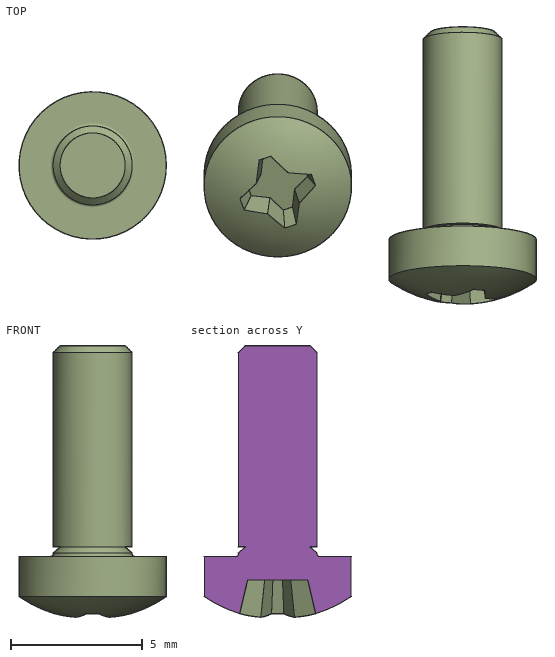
import cadquery as cq
import math

thread_radius = 3.0 / 2
shank_length = 8.0
core_radius = 1.235
tip_chamfer = thread_radius - core_radius

neck_height = 0.36
head_fillet = 0.1
neck_land = 0.03

head_radius = 5.6 / 2
rim_height = 1.53
head_height = 2.4
dome_rise = head_height - rim_height
dome_radius = (head_radius**2 + dome_rise**2) / (2 * dome_rise)

wing_reach = 1.49
wing_half_width = 0.24
corner_offset = 0.65
recess_depth = 1.5
wing_draft = 13.25


def screw_body():
    """Revolve the half profile of shank, undercut and head about Z."""
    fillet_middle = head_fillet * (1 - math.sqrt(0.5))
    middle_radius = head_radius / 2
    dome_center = dome_radius - head_height
    dome_middle = dome_center - math.sqrt(dome_radius**2 - middle_radius**2)
    return (
        cq.Workplane("XZ")
        .moveTo(0, shank_length)
        .lineTo(core_radius, shank_length)
        .lineTo(thread_radius, shank_length - tip_chamfer)
        .lineTo(thread_radius, neck_height)
        .lineTo(core_radius, neck_height)
        .lineTo(thread_radius, head_fillet + neck_land)
        .lineTo(thread_radius, head_fillet)
        .threePointArc(
            (thread_radius + fillet_middle, fillet_middle),
            (thread_radius + head_fillet, 0),
        )
        .lineTo(head_radius, 0)
        .lineTo(head_radius, -rim_height)
        .threePointArc((middle_radius, dome_middle), (0, -head_height))
        .close()
        .revolve(360, (0, 0, 0), (0, 1, 0))
    )


def cross_outline(scale):
    """Points of the cross, one wing and one inner corner per quarter turn."""
    quarter = [
        (wing_reach, -wing_half_width),
        (wing_reach, wing_half_width),
        (corner_offset, corner_offset),
    ]
    points = []
    for turn in range(4):
        angle = math.radians(90 * turn)
        for x, y in quarter:
            points.append(
                (
                    scale * (x * math.cos(angle) - y * math.sin(angle)),
                    scale * (x * math.sin(angle) + y * math.cos(angle)),
                )
            )
    return points


def cross_recess():
    """Tapered cross, narrowing from the dome apex up to a flat floor."""
    floor_reach = wing_reach - recess_depth * math.tan(math.radians(wing_draft))
    return (
        cq.Workplane("XY", origin=(0, 0, -head_height))
        .polyline(cross_outline(1))
        .close()
        .workplane(offset=recess_depth)
        .polyline(cross_outline(floor_reach / wing_reach))
        .close()
        .loft(ruled=True, combine=True)
    )


result = screw_body().cut(cross_recess())